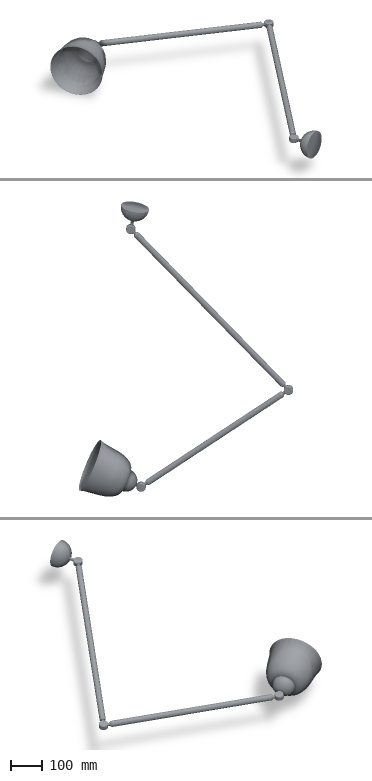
import cadquery as cq
import math


wall_joint = (-76.0, 0)
elbow_joint = (-531.0, 593)
lamp_joint = (-942.0, 189.0)

knuckle_radius = 15.0
knuckle_height = 18.0
half_height = knuckle_height / 2
knuckle_chamfer = 2.0
neck_radius = 5.0

base_radius = 45.5

arm_radius = 10.0
arm_setback = 26.0
arm_taper = 4.0
arm_tip_radius = 7.0

lamp_tilt = 14.0
rim_distance = 179.0
shade_top = 53.0
shade_wall = 1.0
shoulder_start = (55.0, 46.0)
shoulder_end = (77.0, 66.0)
shade_mid = (125.0, 78.0)
shade_rim = (rim_distance, 87.5)
cap_radius = 37.0
cap_wall = 1.0


def axis_plane(origin, direction):
    """Plane whose local X runs along a horizontal direction and whose local Y is horizontal."""
    return cq.Plane(
        origin=(origin[0], origin[1], 0),
        xDir=(direction[0], direction[1], 0),
        normal=(0, 0, 1),
    )


def revolve_about_axis(outline):
    """Revolve a closed outline about the local X axis of its plane."""
    return outline.revolve(360, (0, 0, 0), (1, 0, 0))


def half_knuckle(joint, upper):
    """Disc forming the upper or the lower half of a joint, chamfered on its outer face."""
    bottom = 0 if upper else -half_height
    disc = cq.Workplane("XY", origin=(joint[0], joint[1], bottom))
    outer_edge = ">Z" if upper else "<Z"
    return disc.circle(knuckle_radius).extrude(half_height).edges(outer_edge).chamfer(knuckle_chamfer)


def add_half_knuckle(body, joint, upper):
    """Trim a body back to the joint rim, then join it to its half of the joint."""
    whole_joint = half_knuckle(joint, True).union(half_knuckle(joint, False))
    return body.cut(whole_joint).union(half_knuckle(joint, upper))


def make_wall_base():
    """Solid hemisphere against the wall, with a neck to the lower half of the wall joint."""
    plane = axis_plane((0, 0), (-1, 0))
    dome = revolve_about_axis(
        cq.Workplane(plane)
        .lineTo(base_radius, 0)
        .radiusArc((0, base_radius), -base_radius)
        .close()
    )
    neck_start = base_radius / 2
    neck = revolve_about_axis(
        cq.Workplane(plane)
        .moveTo(neck_start, 0)
        .lineTo(neck_start, neck_radius)
        .lineTo(-wall_joint[0], neck_radius)
        .lineTo(-wall_joint[0], 0)
        .close()
    )
    return add_half_knuckle(dome.union(neck), wall_joint, False)


def make_arm(start, end, upper):
    """Round arm with tapered ends, necks and a half knuckle at both joints."""
    run_x = end[0] - start[0]
    run_y = end[1] - start[1]
    length = math.hypot(run_x, run_y)
    tip = arm_setback - arm_taper
    rod = revolve_about_axis(
        cq.Workplane(axis_plane(start, (run_x, run_y)))
        .lineTo(0, neck_radius)
        .lineTo(tip, neck_radius)
        .lineTo(tip, arm_tip_radius)
        .lineTo(arm_setback, arm_radius)
        .lineTo(length - arm_setback, arm_radius)
        .lineTo(length - tip, arm_tip_radius)
        .lineTo(length - tip, neck_radius)
        .lineTo(length, neck_radius)
        .lineTo(length, 0)
        .close()
    )
    for joint in (start, end):
        rod = add_half_knuckle(rod, joint, upper)
    return rod


tilt = math.radians(lamp_tilt)
lamp_plane = axis_plane(lamp_joint, (math.sin(tilt), -math.cos(tilt)))
cap_inner_radius = cap_radius - cap_wall


def make_lamp_cap():
    """Hollow hemisphere on top of the shade, hung from the upper half of the lamp joint."""
    shell = revolve_about_axis(
        cq.Workplane(lamp_plane)
        .moveTo(shade_top - cap_radius, 0)
        .radiusArc((shade_top, cap_radius), cap_radius)
        .lineTo(shade_top, cap_inner_radius)
        .radiusArc((shade_top - cap_inner_radius, 0), -cap_inner_radius)
        .close()
    )
    neck_end = shade_top - cap_inner_radius + cap_wall
    neck = revolve_about_axis(
        cq.Workplane(lamp_plane)
        .lineTo(0, neck_radius)
        .lineTo(neck_end, neck_radius)
        .lineTo(neck_end, 0)
        .close()
    )
    return add_half_knuckle(shell.union(neck), lamp_joint, True)


def make_shade():
    """Thin flared shade, open at the rim and opening upwards into the cap."""
    diagonal = shade_wall * math.sqrt(0.5)
    inner_rim = (shade_rim[0], shade_rim[1] - shade_wall)
    inner_mid = (shade_mid[0], shade_mid[1] - shade_wall)
    inner_shoulder_end = (shoulder_end[0] + diagonal, shoulder_end[1] - diagonal)
    inner_shoulder_start = (shoulder_start[0] + diagonal, shoulder_start[1] - diagonal)
    inner_top = (shade_top + shade_wall, cap_inner_radius)
    outline = (
        cq.Workplane(lamp_plane)
        .moveTo(shade_top, cap_inner_radius)
        .lineTo(shade_top, cap_radius)
        .spline([shoulder_start, shoulder_end, shade_mid, shade_rim], includeCurrent=True)
        .lineTo(*inner_rim)
        .spline([inner_mid, inner_shoulder_end, inner_shoulder_start, inner_top], includeCurrent=True)
        .close()
    )
    return revolve_about_axis(outline)


wall_base = make_wall_base()
long_arm = make_arm(wall_joint, elbow_joint, True)
short_arm = make_arm(elbow_joint, lamp_joint, False)
lamp_cap = make_lamp_cap()
shade = make_shade()

result = cq.Compound.makeCompound(
    [wall_base.val(), long_arm.val(), short_arm.val(), lamp_cap.val(), shade.val()]
)